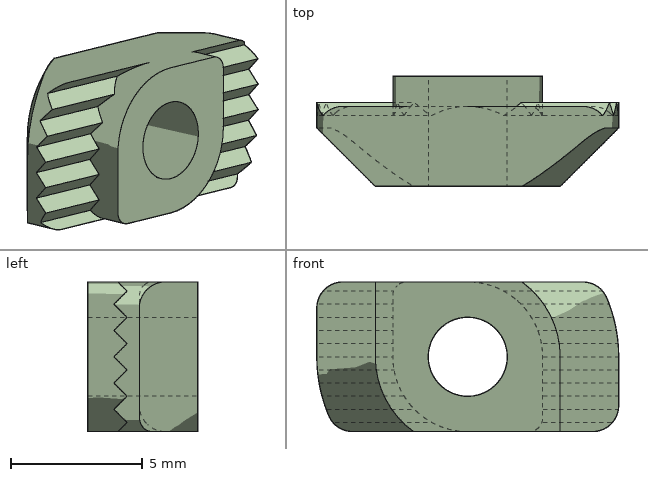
import cadquery as cq
import math

LENGTH = 11.5
HEIGHT = 5.7
DEPTH = 4.2
HALF_LENGTH = LENGTH / 2
HALF_HEIGHT = HEIGHT / 2

TAPER = 2.23
CORNER_RADIUS = 1.0

TOOTH_TIP_Y = 3.2
TOOTH_PITCH = 1.0
TOOTH_DEPTH = TOOTH_PITCH / 2
GROOVES_PER_SIDE = 3

BOSS_CORNER_RADIUS = 0.53
HOLE_DIAMETER = 3.0

FRONT_Y = 0.0
FULL_TURN = 360
HALF_TURN = FULL_TURN / 2


def plane_at(y):
    """XZ sketch plane at y, extruding toward +Y, with local x to -X and local y to +Z."""
    return cq.Plane(origin=(0, y, 0), xDir=(-1, 0, 0), normal=(0, 1, 0))


def turning_prism(half_length, start_y, end_y, corner_radius):
    """Bar along Y with its corners at +X+Z and -X-Z rounded about the Y axis.

    The corners left over where the sides meet the top and bottom are filleted.
    """
    depth = end_y - start_y
    round_bar = cq.Workplane(plane_at(start_y)).circle(half_length).extrude(depth)
    for side in (-1, 1):
        quadrant_center = (side * half_length / 2, side * HALF_HEIGHT / 2)
        square_end = cq.Workplane(plane_at(start_y)).center(*quadrant_center)
        round_bar = round_bar.union(square_end.rect(half_length, HALF_HEIGHT).extrude(depth))
    slab = cq.Workplane(plane_at(start_y)).rect(LENGTH, HEIGHT).extrude(depth)
    bar = round_bar.intersect(slab)
    corner_x = math.sqrt(half_length**2 - HALF_HEIGHT**2)
    corners = [(-half_length, HALF_HEIGHT), (half_length, -HALF_HEIGHT)]
    if corner_x > 0:
        corners += [(corner_x, HALF_HEIGHT), (-corner_x, -HALF_HEIGHT)]
    for x, z in corners:
        nearest = cq.selectors.NearestToPointSelector((x, (start_y + end_y) / 2, z))
        bar = bar.edges("|Y").edges(nearest).fillet(corner_radius)
    return bar


def tapered_envelope():
    """Wedge ends in two opposite quadrants and conical ends in the other two."""
    half_profile = [
        (0, FRONT_Y),
        (HALF_LENGTH - TAPER, FRONT_Y),
        (HALF_LENGTH, TAPER),
        (HALF_LENGTH, TOOTH_TIP_Y),
        (0, TOOTH_TIP_Y),
    ]
    cone = cq.Workplane("XY").polyline(half_profile).close().revolve(FULL_TURN, (0, 0), (0, 1))
    wedge = cq.Workplane("XY").polyline(half_profile).close().extrude(-HALF_HEIGHT)
    opposite_wedge = wedge.rotate((0, 0, 0), (0, 1, 0), HALF_TURN)
    return cone.union(wedge).union(opposite_wedge)


def serration_cut():
    """V grooves along X, midway between tooth tips."""
    cuts = cq.Workplane("YZ", origin=(-HALF_LENGTH, 0, 0))
    for index in range(-GROOVES_PER_SIDE, GROOVES_PER_SIDE):
        lower_tip = index * TOOTH_PITCH
        cuts = cuts.polyline([
            (TOOTH_TIP_Y, lower_tip),
            (TOOTH_TIP_Y - TOOTH_DEPTH, lower_tip + TOOTH_PITCH / 2),
            (TOOTH_TIP_Y, lower_tip + TOOTH_PITCH),
        ]).close()
    return cuts.extrude(LENGTH)


flange = turning_prism(HALF_LENGTH, FRONT_Y, TOOTH_TIP_Y, CORNER_RADIUS)
flange = flange.intersect(tapered_envelope()).cut(serration_cut())

boss = turning_prism(HALF_HEIGHT, TOOTH_TIP_Y - TOOTH_DEPTH, DEPTH, BOSS_CORNER_RADIUS)

hole = cq.Workplane(plane_at(FRONT_Y)).circle(HOLE_DIAMETER / 2).extrude(DEPTH)

result = flange.union(boss).cut(hole)